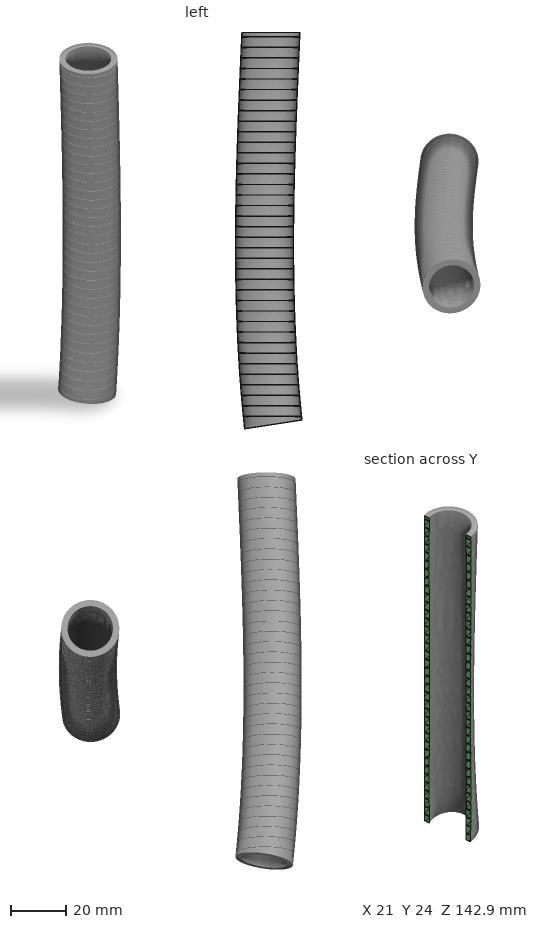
import cadquery as cq

outer_diameter = 21.0
bore_diameter = 16.5
liner_thickness = 0.3

top_height = 142.9
top_slope = 0.045
vertical_depth = 76.6
end_depth = 141.3

groove_count = 37
groove_pitch = 3.8
groove_width = 0.13
first_groove_depth = 1.6
groove_floor_diameter = bore_diameter + 2 * liner_thickness
groove_cutter_diameter = 1.2 * outer_diameter

bend_rate = top_slope / vertical_depth**2


def centre_y(depth):
    """Y of the centreline: a cubic, straight at the top and bending more towards the bottom."""
    return top_slope * depth - bend_rate * depth**3 / 3


def centre_slope(depth):
    """Sideways lean of the centreline, the derivative of centre_y."""
    return top_slope - bend_rate * depth**2


def centreline():
    """The cubic as an exact Bezier curve, with control points at thirds of the depth."""
    third = end_depth / 3
    end_y = centre_y(end_depth)
    control_points = [
        cq.Vector(0, 0, top_height),
        cq.Vector(0, top_slope * third, top_height - third),
        cq.Vector(0, end_y - centre_slope(end_depth) * third, top_height - 2 * third),
        cq.Vector(0, end_y, top_height - end_depth),
    ]
    return cq.Workplane("XY").newObject([cq.Wire.assembleEdges([cq.Edge.makeBezier(control_points)])])


def curved_rod(diameter):
    """Solid round rod along the centreline."""
    return cq.Workplane("XY", origin=(0, 0, top_height)).circle(diameter / 2).sweep(centreline())


def groove_cutter(depth):
    """Flat level ring centred on the tube, removing everything outside the groove floor."""
    lower_face = top_height - depth - groove_width / 2
    return (
        cq.Workplane("XY", origin=(0, centre_y(depth), lower_face))
        .circle(groove_cutter_diameter / 2)
        .circle(groove_floor_diameter / 2)
        .extrude(groove_width)
    )


tube = curved_rod(outer_diameter).cut(curved_rod(bore_diameter))

cutters = [
    groove_cutter(first_groove_depth + index * groove_pitch).val()
    for index in range(groove_count)
]
result = tube.cut(cq.Workplane(cq.Compound.makeCompound(cutters)))